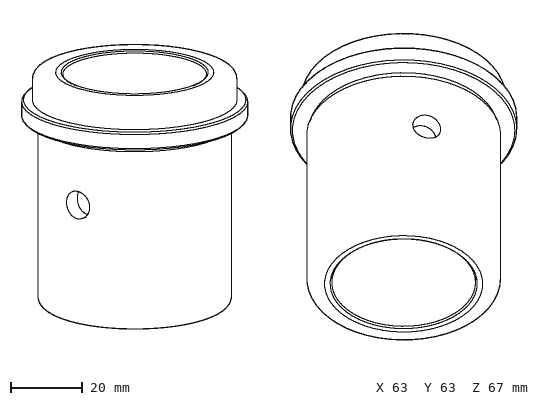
import cadquery as cq

HEIGHT = 67.0
FLANGE_DIAMETER = 63.0
HEAD_DIAMETER = 57.0
BARREL_DIAMETER = 54.0
LINER_DIAMETER = 44.0
BORE_DIAMETER = 40.0

FLANGE_BOTTOM = 53.9
FLANGE_THICKNESS = 5.15
FLANGE_TOP = FLANGE_BOTTOM + FLANGE_THICKNESS

RIM_FILLET = 2.0
FLANGE_CHAMFER = 0.55
BORE_CHAMFER = 0.5
RELIEF_HEIGHT = 1.75
RELIEF_DEPTH = 0.7

HOLE_DIAMETER = 8.0
HOLE_HEIGHT = 35.05


def ring(outer_diameter, inner_diameter):
    """Full-height tube standing on the XY plane."""
    return cq.Workplane("XY").circle(outer_diameter / 2).circle(inner_diameter / 2).extrude(HEIGHT)


def make_housing_blank():
    """Revolved flanged sleeve with rounded ends and a tapered relief under the flange."""
    inner = LINER_DIAMETER / 2
    barrel = BARREL_DIAMETER / 2
    head = HEAD_DIAMETER / 2
    flange = FLANGE_DIAMETER / 2
    arc_inset = RIM_FILLET * (1 - 0.5 ** 0.5)
    profile = (
        cq.Workplane("XZ")
        .moveTo(inner, 0)
        .lineTo(barrel - RIM_FILLET, 0)
        .threePointArc((barrel - arc_inset, arc_inset), (barrel, RIM_FILLET))
        .lineTo(barrel, FLANGE_BOTTOM - RELIEF_HEIGHT)
        .lineTo(barrel - RELIEF_DEPTH, FLANGE_BOTTOM)
        .lineTo(flange - FLANGE_CHAMFER, FLANGE_BOTTOM)
        .lineTo(flange, FLANGE_BOTTOM + FLANGE_CHAMFER)
        .lineTo(flange, FLANGE_TOP - FLANGE_CHAMFER)
        .lineTo(flange - FLANGE_CHAMFER, FLANGE_TOP)
        .lineTo(head, FLANGE_TOP)
        .lineTo(head, HEIGHT - RIM_FILLET)
        .threePointArc((head - arc_inset, HEIGHT - arc_inset), (head - RIM_FILLET, HEIGHT))
        .lineTo(inner, HEIGHT)
        .close()
    )
    return profile.revolve(360, (0, 0, 0), (0, 1, 0))


def make_housing():
    """Flanged sleeve with one radial hole on the -Y side, reaching its bore."""
    hole = (
        cq.Workplane("XZ")
        .center(0, HOLE_HEIGHT)
        .circle(HOLE_DIAMETER / 2)
        .extrude(BARREL_DIAMETER)
    )
    return make_housing_blank().cut(hole)


def make_liner():
    """Plain bushing filling the housing bore, with chamfered bore mouths."""
    liner = ring(LINER_DIAMETER, BORE_DIAMETER)
    bore_edges = cq.selectors.RadiusNthSelector(0)
    return liner.faces("<Z or >Z").edges(bore_edges).chamfer(BORE_CHAMFER)


housing = make_housing()
liner = make_liner()

result = cq.Compound.makeCompound([housing.val(), liner.val()])